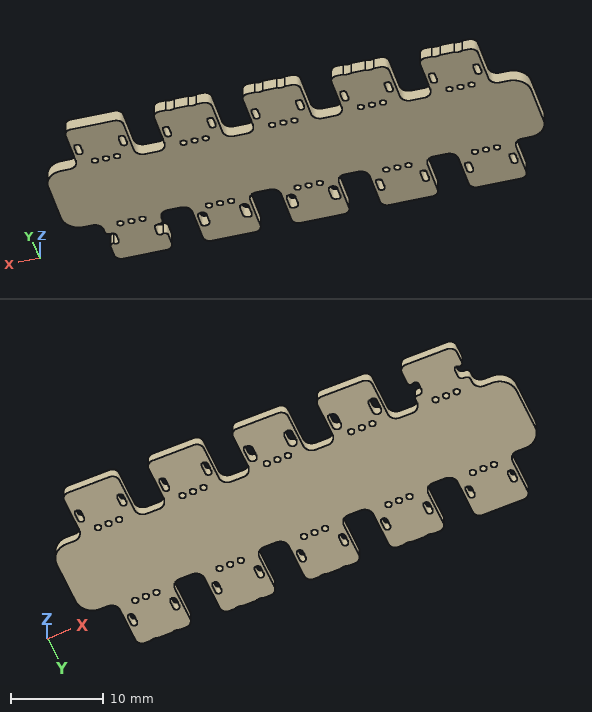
import cadquery as cq

LENGTH = 54.55
DEPTH = 20.7
THICKNESS = 1.5
BODY_DEPTH = 9.0
BODY_CORNER_RADIUS = 2.0

TAB_COUNT = 5
TAB_ROW_LENGTH = 40.05
TAB_PITCH = TAB_ROW_LENGTH / (TAB_COUNT - 1)
TAB_WIDTH = 6.55
TAB_CORNER_RADIUS = 0.8
TAB_ROOT_RADIUS = 1.0

HOLE_DIAMETER = 0.7
HOLE_PITCH = 1.25
HOLE_ROW_Y = 5.0

SLOT_SPACING = 5.0
SLOT_WIDTH = 0.7
SLOT_LENGTH = 1.5
SLOT_Y = 7.15
SLOT_OUTER_END_Y = SLOT_Y + SLOT_LENGTH / 2

LONG_SLOT_LENGTH = 1.7
WIDE_SLOT_WIDTH = 1.0
WIDE_SLOT_LENGTH = 2.0
WIDE_SLOT_Y = 6.85

NOTCH_HEIGHT = 1.45
NOTCH_Y = 7.05
NOTCH_INNER_RADIUS = 0.5
NOTCH_LIP_RADIUS = 0.45

SCALLOP_DEPTH = 0.1
SCALLOP_WIDTH = 0.9

TAB_XS = [TAB_PITCH * (i - (TAB_COUNT - 1) / 2) for i in range(TAB_COUNT)]
LONG_SLOT_TAB_X = TAB_XS[1]
WIDE_SLOT_TAB_XS = TAB_XS[2:4]
NOTCHED_TAB_X = TAB_XS[-1]
SCALLOPED_TAB_XS = TAB_XS[:-1]
SIDES = (-1, 1)


def plate_outline():
    """Rounded body crossed by the tabs, with filleted tab roots."""
    body = cq.Workplane("XY").rect(LENGTH, BODY_DEPTH).extrude(THICKNESS)
    body = body.edges("|Z").fillet(BODY_CORNER_RADIUS)
    tabs = cq.Workplane("XY").pushPoints([(x, 0) for x in TAB_XS])
    tabs = tabs.rect(TAB_WIDTH, DEPTH).extrude(THICKNESS)
    tabs = tabs.edges("|Z").fillet(TAB_CORNER_RADIUS)

    roots_x = (TAB_ROW_LENGTH + TAB_WIDTH) / 2
    margin = 0.05
    root_corner = (roots_x + margin, BODY_DEPTH / 2 + margin, THICKNESS + margin)
    root_box = cq.selectors.BoxSelector([-c for c in root_corner], root_corner)
    return body.union(tabs).edges("|Z").edges(root_box).fillet(TAB_ROOT_RADIUS)


def slots(points, length, width):
    """Round-ended cutters running along Y."""
    return cq.Workplane("XY").pushPoints(points).slot2D(length, width, 90).extrude(THICKNESS)


def hole_rows():
    points = [
        (x + k * HOLE_PITCH, side * HOLE_ROW_Y)
        for x in TAB_XS
        for k in (-1, 0, 1)
        for side in SIDES
    ]
    return cq.Workplane("XY").pushPoints(points).circle(HOLE_DIAMETER / 2).extrude(THICKNESS)


def plain_slots():
    points = [
        (x + k * SLOT_SPACING / 2, side * SLOT_Y)
        for x in TAB_XS
        for k in SIDES
        for side in SIDES
    ]
    return slots(points, SLOT_LENGTH, SLOT_WIDTH)


def long_slots():
    """Slots stretched towards the body from the outer end of the plain ones."""
    y = LONG_SLOT_LENGTH / 2 - SLOT_OUTER_END_Y
    points = [(LONG_SLOT_TAB_X + k * SLOT_SPACING / 2, y) for k in SIDES]
    return slots(points, LONG_SLOT_LENGTH, SLOT_WIDTH)


def wide_slots():
    offset = (SLOT_SPACING + SLOT_WIDTH - WIDE_SLOT_WIDTH) / 2
    points = [(x + k * offset, -WIDE_SLOT_Y) for x in WIDE_SLOT_TAB_XS for k in SIDES]
    return slots(points, WIDE_SLOT_LENGTH, WIDE_SLOT_WIDTH)


def cut_notches(plate):
    """Side notches as deep as the plain slots, with rounded inner corners and lips."""
    inner_x = (SLOT_SPACING - SLOT_WIDTH) / 2
    outer_x = TAB_WIDTH / 2
    reach = 2 * (outer_x - inner_x)
    points = [(NOTCHED_TAB_X + k * outer_x, -NOTCH_Y) for k in SIDES]
    cutter = cq.Workplane("XY").pushPoints(points).rect(reach, NOTCH_HEIGHT).extrude(THICKNESS)
    plate = plate.cut(cutter.edges("|Z").fillet(NOTCH_INNER_RADIUS))
    for x, _ in points:
        for side in SIDES:
            lip = (x, -NOTCH_Y + side * NOTCH_HEIGHT / 2, THICKNESS / 2)
            lip_edge = cq.selectors.NearestToPointSelector(lip)
            plate = plate.edges("|Z").edges(lip_edge).fillet(NOTCH_LIP_RADIUS)
    return plate


def scallops():
    radius = (SCALLOP_WIDTH**2 / 4 + SCALLOP_DEPTH**2) / (2 * SCALLOP_DEPTH)
    y = DEPTH / 2 - SCALLOP_DEPTH + radius
    points = [(x + k * HOLE_PITCH, y) for x in SCALLOPED_TAB_XS for k in SIDES]
    return cq.Workplane("XY").pushPoints(points).circle(radius).extrude(THICKNESS)


plate = cut_notches(plate_outline())
plate = plate.cut(hole_rows()).cut(plain_slots()).cut(long_slots()).cut(wide_slots())
result = plate.cut(scallops())